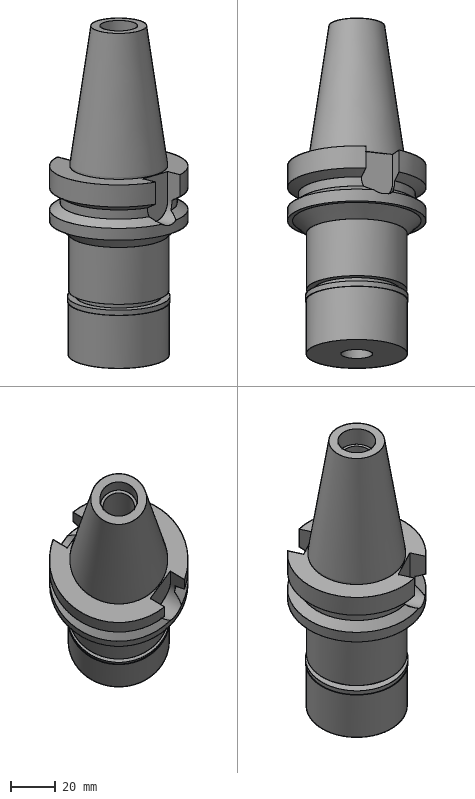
import cadquery as cq

total_height = 155.4
collar_bottom = 25.2
nut_top = 27.7
barrel_bottom = 30.3
cone_bottom = 57.2
rim_bottom = 63.1
rim_top = 68.7
groove_bottom = 71.6
groove_top = 76.0
drive_ring_bottom = 78.8
flange_top = 89.2
taper_bottom = 90.1

flange_radius = 63.0 / 2
groove_radius = 26.5
cone_top_radius = 29.2
barrel_radius = 22.8
neck_radius = 19.6
taper_large_radius = 22.2
taper_ratio = 7 / 24
taper_small_radius = taper_large_radius - (total_height - taper_bottom) * taper_ratio / 2
nut_collar_radius = 23.3
nut_skirt_radius = 23.0

through_radius = 7.1
counterbore_radius = 8.5
counterbore_depth = 9.0

slot_width = 16.3
slot_floor = 22.7
slot_bottom = 67.3


def turned(profile):
    """Revolve an (r, z) half profile about the Z axis."""
    return cq.Workplane("XZ").polyline(profile).close().revolve(360, (0, 0, 0), (0, 1, 0))


def drive_slot(side):
    """Round-bottomed cutter, open at the flange top; side is -1 or +1 along X."""
    half_width = slot_width / 2
    arc_center = slot_bottom + half_width
    return (
        cq.Workplane("YZ", origin=(side * slot_floor, 0, 0))
        .moveTo(-half_width, flange_top)
        .lineTo(-half_width, arc_center)
        .threePointArc((0, slot_bottom), (half_width, arc_center))
        .lineTo(half_width, flange_top)
        .close()
        .extrude(side * flange_radius)
    )


def make_holder():
    """Taper shank, grooved flange with two drive slots, barrel and neck."""
    holder = turned([
        (through_radius, nut_top),
        (neck_radius, nut_top),
        (neck_radius, barrel_bottom),
        (barrel_radius, barrel_bottom),
        (barrel_radius, cone_bottom),
        (cone_top_radius, rim_bottom),
        (flange_radius, rim_bottom),
        (flange_radius, rim_top),
        (groove_radius, groove_bottom),
        (groove_radius, groove_top),
        (flange_radius, drive_ring_bottom),
        (flange_radius, flange_top),
        (taper_large_radius, flange_top),
        (taper_large_radius, taper_bottom),
        (taper_small_radius, total_height),
        (counterbore_radius, total_height),
        (counterbore_radius, total_height - counterbore_depth),
        (through_radius, total_height - counterbore_depth),
    ])
    for side in (-1, 1):
        holder = holder.cut(drive_slot(side))
    return holder


def make_nut():
    """Clamping nut with a slightly wider collar, seated against the neck."""
    return turned([
        (through_radius, 0),
        (nut_skirt_radius, 0),
        (nut_skirt_radius, collar_bottom),
        (nut_collar_radius, collar_bottom),
        (nut_collar_radius, nut_top),
        (through_radius, nut_top),
    ])


holder = make_holder()
nut = make_nut()
result = cq.Compound.makeCompound([holder.val(), nut.val()])